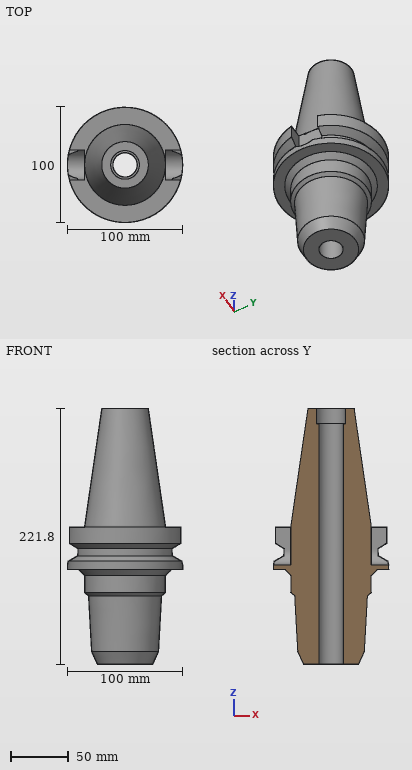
import cadquery as cq

total_height = 221.8
nose_chamfer_height = 11.0
nose_cone_top = 59.5
collar_bottom = 62.0
collar_top = 77.0
flange_bottom = 82.0
groove_outer_bottom = 89.4
groove_outer_top = 105.0
groove_bevel_height = 4.7
flange_top = 118.9
taper_base = 120.0

flange_radius = 100.0 / 2
groove_radius = 42.8
collar_radius = 35.0
nose_face_radius = 24.0
nose_bottom_radius = 29.0
nose_top_radius = 31.7
bore_radius = 10.5
counterbore_radius = 12.5
counterbore_depth = 13.0

taper_ratio = 7 / 24
shank_end_radius = collar_radius - (total_height - taper_base) * taper_ratio / 2

flange_bevel_radius = collar_radius + flange_bottom - collar_top

slot_width = 25.7
slot_bottom = 86.3
slot_floor_distance = collar_radius


def make_body():
    """Revolve the outer profile about the tool axis."""
    profile = [
        (0, 0),
        (nose_face_radius, 0),
        (nose_bottom_radius, nose_chamfer_height),
        (nose_top_radius, nose_cone_top),
        (collar_radius, collar_bottom),
        (collar_radius, collar_top),
        (flange_bevel_radius, flange_bottom),
        (flange_radius, flange_bottom),
        (flange_radius, groove_outer_bottom),
        (groove_radius, groove_outer_bottom + groove_bevel_height),
        (groove_radius, groove_outer_top - groove_bevel_height),
        (flange_radius, groove_outer_top),
        (flange_radius, flange_top),
        (collar_radius, flange_top),
        (collar_radius, taper_base),
        (shank_end_radius, total_height),
        (0, total_height),
    ]
    return cq.Workplane("XZ").polyline(profile).close().revolve(360, (0, 0), (0, 1))


def make_drive_slot(side):
    """Round-bottomed slot, open at the flange top; side is +1 for +X and -1 for -X."""
    slot_radius = slot_width / 2
    arc_center = slot_bottom + slot_radius
    return (
        cq.Workplane("YZ", origin=(side * slot_floor_distance, 0, 0))
        .moveTo(-slot_radius, flange_top)
        .lineTo(-slot_radius, arc_center)
        .threePointArc((0, slot_bottom), (slot_radius, arc_center))
        .lineTo(slot_radius, flange_top)
        .close()
        .extrude(side * flange_radius)
    )


def make_bore():
    """Through bore with a wider counterbore at the shank end."""
    through_bore = cq.Workplane("XY").circle(bore_radius).extrude(total_height)
    counterbore = (
        cq.Workplane("XY", origin=(0, 0, total_height - counterbore_depth))
        .circle(counterbore_radius)
        .extrude(counterbore_depth)
    )
    return through_bore.union(counterbore)


result = make_body().cut(make_bore())
for side in (1, -1):
    result = result.cut(make_drive_slot(side))